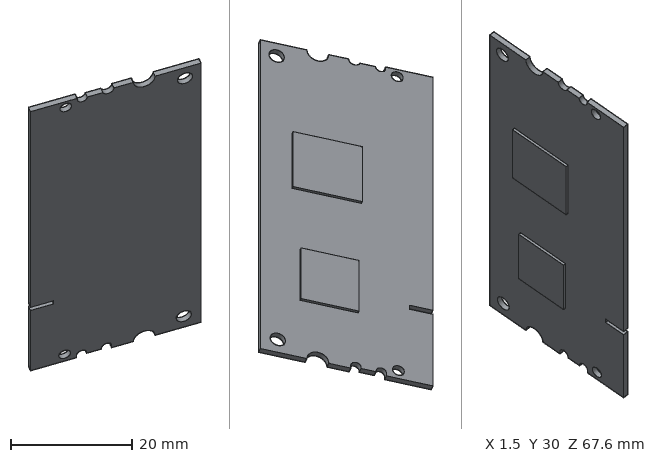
import cadquery as cq

board_width = 30.0
board_height = 67.6
board_thickness = 1.0
chip_thickness = 0.5

left = board_width / 2
top = board_height / 2
bottom = -top

large_hole_diameter = 2.65
small_hole_diameter = 2.0
large_top_hole = (left - 2.85, top - 2.8)
large_bottom_hole = (left - 3.05, bottom + 2.85)
small_top_hole = (left - 23.8, top - 1.55)
small_bottom_hole = (left - 24.0, bottom + 1.75)

edge_notch_radius = 1.9
edge_notch_y = left - 10.0

relief_depth = 0.4
notch_radius = 0.9
wide_notch_radius = 1.0
top_wide_notch_y = left - 16.35
top_notch_y = left - 20.9
top_notch_center_depth = 0.35
bottom_notch_ys = (left - 16.6, left - 21.0)
bottom_notch_center_depth = 0.6

slot_length = 4.05
slot_width = 0.8
slot_z = bottom + 16.15

large_chip_size = 12.0
large_chip_center = (left - 11.55, bottom + 42.6)
small_chip_width = 10.1
small_chip_height = 11.1
small_chip_center = (left - 11.95, bottom + 18.0)


def block(width, height, center, thickness=board_thickness, x_start=0.0):
    """Rectangular block centered at (y, z), reaching from x_start toward +X."""
    return cq.Workplane("YZ", origin=(x_start, 0, 0)).center(*center).rect(width, height).extrude(thickness)


def cylinder(radius, center):
    """Cylinder through the board thickness, centered at (y, z)."""
    return cq.Workplane("YZ").center(*center).circle(radius).extrude(board_thickness)


def deep_notch(y, edge_z, inward, center_depth):
    """Straight-sided notch with a round end, opening at a board edge."""
    center_z = edge_z + inward * center_depth
    mouth = block(2 * notch_radius, center_depth, (y, (edge_z + center_z) / 2))
    return mouth.union(cylinder(notch_radius, (y, center_z)))


def edge_relief(first_y, second_y, edge_z, inward):
    """Shallow relief joining the centers of two notches."""
    center = ((first_y + second_y) / 2, edge_z + inward * relief_depth / 2)
    return block(abs(first_y - second_y), relief_depth, center)


board = block(board_width, board_height, (0, 0))

for hole_center in (large_top_hole, large_bottom_hole):
    board = board.cut(cylinder(large_hole_diameter / 2, hole_center))
for hole_center in (small_top_hole, small_bottom_hole):
    board = board.cut(cylinder(small_hole_diameter / 2, hole_center))

for edge_z in (top, bottom):
    board = board.cut(cylinder(edge_notch_radius, (edge_notch_y, edge_z)))

board = board.cut(cylinder(wide_notch_radius, (top_wide_notch_y, top)))
board = board.cut(deep_notch(top_notch_y, top, -1, top_notch_center_depth))
board = board.cut(edge_relief(top_wide_notch_y, top_notch_y, top, -1))

for notch_y in bottom_notch_ys:
    board = board.cut(deep_notch(notch_y, bottom, 1, bottom_notch_center_depth))
board = board.cut(edge_relief(*bottom_notch_ys, bottom, 1))

board = board.cut(block(slot_length, slot_width, (-left + slot_length / 2, slot_z)))

large_chip = block(large_chip_size, large_chip_size, large_chip_center, chip_thickness, -chip_thickness)
small_chip = block(small_chip_width, small_chip_height, small_chip_center, chip_thickness, -chip_thickness)

result = board.union(large_chip).union(small_chip)